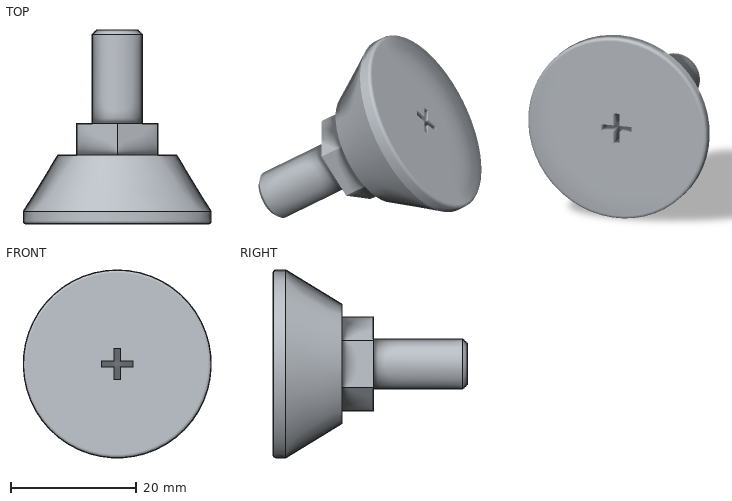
import cadquery as cq
import math

foot_diameter = 30.0
rim_height = 2.0
rim_fillet = 0.5
foot_height = 11.0
foot_top_diameter = 19.0

hex_across_flats = 13.0
hex_height = 5.0

stud_diameter = 8.0
stud_length = 15.0
stud_chamfer = 0.75

cross_span = 5.0
cross_width = 1.0
cross_depth = 3.0

total_length = foot_height + hex_height + stud_length
bottom_y = -total_length / 2


def plane_at(height):
    """Plane at a height above the underside, with its normal along +Y and local x along Z."""
    return cq.Plane(origin=(0, bottom_y + height, 0), xDir=(0, 0, 1), normal=(0, 1, 0))


def make_foot():
    rim = (
        cq.Workplane(plane_at(0))
        .circle(foot_diameter / 2)
        .extrude(rim_height)
        .faces("<Y").edges().fillet(rim_fillet)
    )
    cone = (
        cq.Workplane(plane_at(rim_height))
        .circle(foot_diameter / 2)
        .workplane(offset=foot_height - rim_height)
        .circle(foot_top_diameter / 2)
        .loft(ruled=True)
    )
    return rim.union(cone)


def make_hex():
    across_corners = hex_across_flats / math.cos(math.radians(30))
    return cq.Workplane(plane_at(foot_height)).polygon(6, across_corners).extrude(hex_height)


def make_stud():
    return (
        cq.Workplane(plane_at(foot_height + hex_height))
        .circle(stud_diameter / 2)
        .extrude(stud_length)
        .faces(">Y").edges().chamfer(stud_chamfer)
    )


def make_cross():
    bottom = cq.Workplane(plane_at(0))
    upright_bar = bottom.rect(cross_span, cross_width).extrude(cross_depth)
    level_bar = bottom.rect(cross_width, cross_span).extrude(cross_depth)
    return upright_bar.union(level_bar)


result = make_foot().union(make_hex()).union(make_stud()).cut(make_cross())